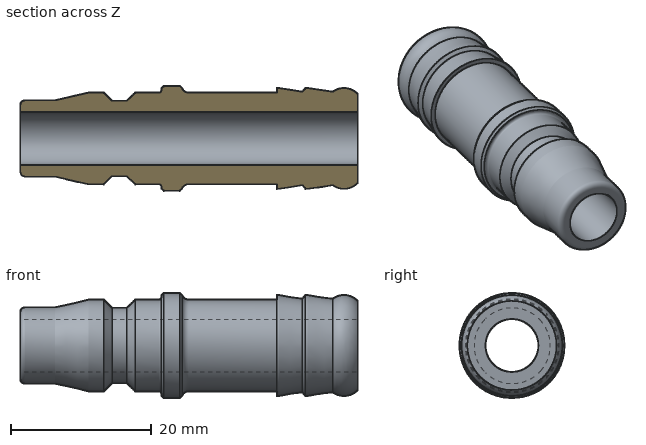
import cadquery as cq

length = 48.0
bore_radius = 7.5 / 2
nose_radius = 10.9 / 2
groove_radius = 10.8 / 2
body_radius = 13.1 / 2
flange_radius = 15.0 / 2
barb_radius = 7.2

nose_round = 0.7
taper_start = 4.95
taper_end = 9.75
shoulder_end = 11.9
groove_start = 13.05
groove_end = 15.15
body_start = 16.35

flange_start = 20.05
flange_end = 23.05
rim_bevel = 0.35
front_root = 0.35
rear_root = 0.85
rear_root_rise = flange_radius - rim_bevel - body_radius
rear_root_radius = (rear_root**2 + rear_root_rise**2) / (2 * rear_root_rise)

barb_starts = (36.5, 40.55)
barb_land = 0.3
barb_valley_radius = 6.65
barb_face_length = 0.45
roll_start = 44.45
roll_crest = 46.1
end_face_radius = 6.35


def add_plug(profile):
    """Outline from the bore at the nose face to the straight body."""
    nose_round_middle = nose_round * (1 - 0.5**0.5)
    return (
        profile.lineTo(0, nose_radius - nose_round)
        .threePointArc(
            (nose_round_middle, nose_radius - nose_round_middle),
            (nose_round, nose_radius),
        )
        .lineTo(taper_start, nose_radius)
        .lineTo(taper_end, body_radius)
        .lineTo(shoulder_end, body_radius)
        .lineTo(groove_start, groove_radius)
        .lineTo(groove_end, groove_radius)
        .lineTo(body_start, body_radius)
    )


def add_flange(profile):
    """Outline over the stop flange and its flared roots."""
    return (
        profile.lineTo(flange_start - front_root, body_radius)
        .radiusArc((flange_start, body_radius + front_root), -front_root)
        .lineTo(flange_start, flange_radius - rim_bevel)
        .lineTo(flange_start + rim_bevel, flange_radius)
        .lineTo(flange_end - rim_bevel, flange_radius)
        .lineTo(flange_end, flange_radius - rim_bevel)
        .radiusArc((flange_end + rear_root, body_radius), -rear_root_radius)
    )


def add_barbs(profile):
    """Sawtooth outline of the barbs, each falling to the next one's face."""
    profile = profile.lineTo(barb_starts[0], body_radius)
    valley_ends = (barb_starts[1] - barb_face_length, roll_start)
    for start, valley_end in zip(barb_starts, valley_ends):
        profile = (
            profile.lineTo(start, barb_radius)
            .lineTo(start + barb_land, barb_radius)
            .lineTo(valley_end, barb_valley_radius)
        )
    return profile


def add_rolled_end(profile):
    """Rounded bead with its crest level with the barbs."""
    return profile.threePointArc((roll_crest, barb_radius), (length, end_face_radius))


profile = cq.Workplane("XY").moveTo(0, bore_radius)
profile = add_plug(profile)
profile = add_flange(profile)
profile = add_barbs(profile)
profile = add_rolled_end(profile)
profile = profile.lineTo(length, bore_radius).close()

result = profile.revolve(360, (0, 0, 0), (1, 0, 0))